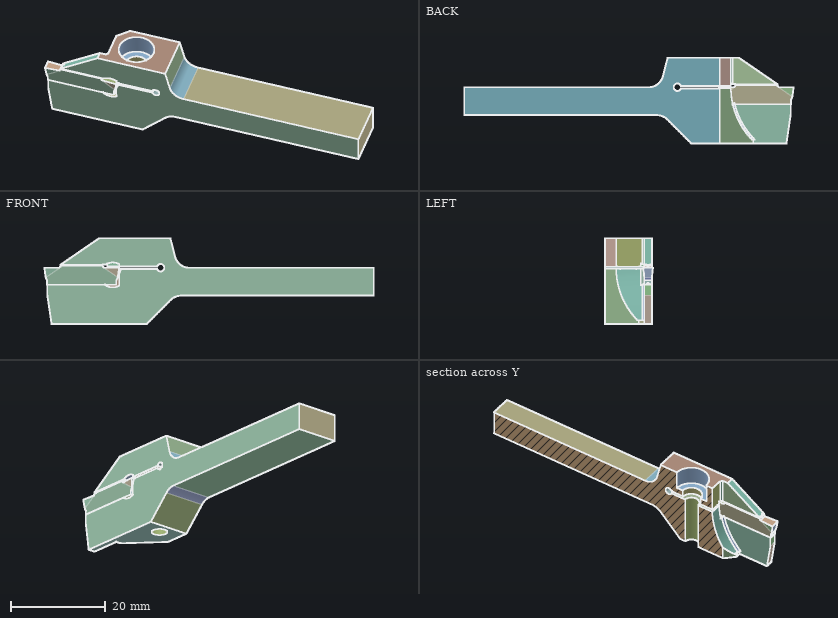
import cadquery as cq
import math

LENGTH = 70.0
HEIGHT = 18.3
DEPTH = 10.0
SHANK_BOTTOM = 6.0
SHANK_TOP = 12.0
HEAD_END_X = 26.8
NECK_TOP_X = 28.4
NECK_BOTTOM_X = 27.8
NECK_RADIUS = 3.15
JAW_TIP_X = 3.4
JAW_TOP_X = 11.7
HEEL_X = 1.55
HEEL_END_X = 21.8
BLADE_FRONT_X = 0.6
BLADE_KINK_Z = 6.15

BLADE_DEPTH = 1.7
SCOOP_X = 13.4
SCOOP_TANGENT_Z = 11.9
SCOOP_RADIUS = 15.9
TOE_X = 8.6
TOE_HEIGHT = 0.85
SCOOP_CHAMFER = 0.4
CHAMFER_OFFSET = 5.75

SEAT_Z = 8.4
JAW_Z = 12.6
INSERT_LENGTH = 15.9
RELIEF_X = 14.55
RELIEF_Z = 10.4
RELIEF_RADIUS = 2.65
RELIEF_DEPTH = 2.45
SLIT_Z = 12.0
SLIT_HEIGHT = 0.5
SLIT_END_X = 24.7
SLIT_HOLE_RADIUS = 0.8
LEAD_IN_X = 16.4
LEAD_IN_START_Z = 10.65
RAIL_HEIGHT = 0.4
RAIL_WIDTH = 1.0

SCREW_X = 18.75
SCREW_Y = 5.05
HEAD_RADIUS = 3.8
HEAD_BORE_DEPTH = 4.35
CLEARANCE_RADIUS = 2.3
THREAD_RADIUS = 1.7

INSERT_TOP = 12.4
EDGE_Z = 12.0
NOSE_X = 0.3
NOSE_Z = 9.95
INSERT_FOOT_X = 0.55
INSERT_FOOT_TOP = 9.3
RAKE_LENGTH = 3.2
RAKE_RISE_LENGTH = 0.3
EDGE_OVERHANG = 0.2


def extrude_y(sketch, y_start, y_end):
    """Extrude a closed XZ sketch between two Y positions."""
    return sketch.extrude(-(y_end - y_start)).translate((0, y_start, 0))


def prism(points, y_start, y_end):
    return extrude_y(cq.Workplane("XZ").polyline(points).close(), y_start, y_end)


def cylinder_y(x, z, radius, y_end):
    return extrude_y(cq.Workplane("XZ").center(x, z).circle(radius), 0, y_end)


def rail(base_z, direction, x_start, x_end):
    """V rail along the blade, pointing up (+1) or down (-1)."""
    middle = BLADE_DEPTH / 2
    points = [
        (middle - RAIL_WIDTH / 2, base_z),
        (middle + RAIL_WIDTH / 2, base_z),
        (middle, base_z + direction * RAIL_HEIGHT),
    ]
    return cq.Workplane("YZ").polyline(points).close().extrude(x_end - x_start).translate((x_start, 0, 0))


def seat_rails():
    """Lower rail up to the relief and upper rail along the raised middle of the insert."""
    half_chord = math.sqrt(RELIEF_RADIUS**2 - (RELIEF_Z - SEAT_Z) ** 2)
    upper_start = RAKE_LENGTH + RAKE_RISE_LENGTH
    lower = rail(SEAT_Z, 1, BLADE_FRONT_X, RELIEF_X - half_chord)
    upper = rail(JAW_Z, -1, upper_start, INSERT_LENGTH - upper_start)
    return lower, upper


def holder_blank():
    outline = [
        (HEEL_X, 0),
        (HEEL_END_X, 0),
        (NECK_BOTTOM_X, SHANK_BOTTOM),
        (LENGTH, SHANK_BOTTOM),
        (LENGTH, SHANK_TOP),
        (NECK_TOP_X, SHANK_TOP),
        (HEAD_END_X, HEIGHT),
        (JAW_TOP_X, HEIGHT),
        (JAW_TIP_X, JAW_Z),
        (JAW_TIP_X, SEAT_Z),
        (BLADE_FRONT_X, SEAT_Z),
        (BLADE_FRONT_X, BLADE_KINK_Z),
    ]
    blank = prism(outline, 0, DEPTH)
    for x, z in [(NECK_BOTTOM_X, SHANK_BOTTOM), (NECK_TOP_X, SHANK_TOP)]:
        corner = cq.selectors.BoxSelector((x - 0.1, -0.7, z - 0.1), (x + 0.1, DEPTH + 0.7, z + 0.1))
        blank = blank.edges(corner).fillet(NECK_RADIUS)
    return blank


def scoop():
    """Clearance behind the blade: a straight wall running into a concave arc."""
    center_x = SCOOP_X - SCOOP_RADIUS
    drop = SCOOP_TANGENT_Z - TOE_HEIGHT
    arc_end_x = center_x + math.sqrt(SCOOP_RADIUS**2 - drop**2)
    half_angle = math.asin(drop / SCOOP_RADIUS) / 2
    arc_middle = (
        center_x + SCOOP_RADIUS * math.cos(half_angle),
        SCOOP_TANGENT_Z - SCOOP_RADIUS * math.sin(half_angle),
    )
    sketch = (
        cq.Workplane("XZ")
        .moveTo(0, HEIGHT)
        .lineTo(SCOOP_X, HEIGHT)
        .lineTo(SCOOP_X, SCOOP_TANGENT_Z)
        .threePointArc(arc_middle, (arc_end_x, TOE_HEIGHT))
        .lineTo(0, TOE_HEIGHT)
        .close()
    )
    cutter = extrude_y(sketch, BLADE_DEPTH, DEPTH)
    wall_foot = cq.selectors.NearestToPointSelector((SCOOP_X, BLADE_DEPTH, (HEIGHT + SCOOP_TANGENT_Z) / 2))
    cutter = cutter.edges(wall_foot).chamfer(SCOOP_CHAMFER)
    toe_front = prism([(0, 0), (TOE_X, 0), (TOE_X, TOE_HEIGHT), (0, TOE_HEIGHT)], BLADE_DEPTH, DEPTH)
    return cutter.union(toe_front)


def corner_chamfer():
    points = [
        (CHAMFER_OFFSET + DEPTH, DEPTH),
        (0, DEPTH),
        (0, BLADE_DEPTH),
        (CHAMFER_OFFSET + BLADE_DEPTH, BLADE_DEPTH),
    ]
    return cq.Workplane("XY").polyline(points).close().extrude(HEIGHT)


def insert_seat():
    """Straight seat through the blade, a round relief at its inner end and a lead-in to the slit."""
    seat = prism(
        [(0, SEAT_Z), (INSERT_LENGTH, SEAT_Z), (INSERT_LENGTH, JAW_Z), (0, JAW_Z)], 0, BLADE_DEPTH
    )
    relief_limit = cq.Workplane("XY").box(INSERT_LENGTH, RELIEF_DEPTH, HEIGHT, centered=False)
    relief = cylinder_y(RELIEF_X, RELIEF_Z, RELIEF_RADIUS, RELIEF_DEPTH).intersect(relief_limit)
    slit_bottom = SLIT_Z - SLIT_HEIGHT / 2
    lead_in = prism(
        [
            (RELIEF_X, LEAD_IN_START_Z),
            (INSERT_LENGTH, LEAD_IN_START_Z),
            (LEAD_IN_X, slit_bottom),
            (LEAD_IN_X, SLIT_Z),
            (RELIEF_X, SLIT_Z),
        ],
        0,
        BLADE_DEPTH,
    )
    return seat.union(relief).union(lead_in)


def clamping_slit():
    bottom = SLIT_Z - SLIT_HEIGHT / 2
    top = SLIT_Z + SLIT_HEIGHT / 2
    corners = [(JAW_TIP_X, bottom), (SLIT_END_X, bottom), (SLIT_END_X, top), (JAW_TIP_X, top)]
    slit = prism(corners, 0, DEPTH)
    return slit.union(cylinder_y(SLIT_END_X, SLIT_Z, SLIT_HOLE_RADIUS, DEPTH))


def screw_hole():
    """Head counterbore, clearance bore down to the slit, tapping bore below it."""
    axis = cq.Workplane("XY").center(SCREW_X, SCREW_Y)
    thread = axis.circle(THREAD_RADIUS).extrude(HEIGHT)
    clearance = axis.circle(CLEARANCE_RADIUS).extrude(HEIGHT - SLIT_Z).translate((0, 0, SLIT_Z))
    head_floor = HEIGHT - HEAD_BORE_DEPTH
    head = axis.circle(HEAD_RADIUS).extrude(HEAD_BORE_DEPTH).translate((0, 0, head_floor))
    return thread.union(clearance).union(head)


def make_holder():
    holder = holder_blank().cut(scoop()).cut(corner_chamfer())
    holder = holder.cut(clamping_slit()).cut(insert_seat()).cut(screw_hole())
    for seat_rail in seat_rails():
        holder = holder.union(seat_rail)
    return holder


def cheek(side_y, tip_y):
    """Flared tetrahedron that widens the cutting edge beyond one side of the insert."""
    tip = cq.Vector(0, tip_y, EDGE_Z)
    root = cq.Vector(0, side_y, EDGE_Z)
    nose = cq.Vector(NOSE_X, side_y, NOSE_Z)
    rake_end = cq.Vector(RAKE_LENGTH, side_y, EDGE_Z)
    triangles = [
        (tip, root, nose),
        (tip, nose, rake_end),
        (tip, rake_end, root),
        (root, rake_end, nose),
    ]
    faces = [cq.Face.makeFromWires(cq.Wire.makePolygon(corners, close=True)) for corners in triangles]
    return cq.Workplane(cq.Solid.makeSolid(cq.Shell.makeShell(faces)))


def make_insert():
    rise_x = RAKE_LENGTH + RAKE_RISE_LENGTH
    outline = [
        (INSERT_FOOT_X, SEAT_Z),
        (INSERT_FOOT_X, INSERT_FOOT_TOP),
        (NOSE_X, NOSE_Z),
        (0, EDGE_Z),
        (RAKE_LENGTH, EDGE_Z),
        (rise_x, INSERT_TOP),
        (INSERT_LENGTH - rise_x, INSERT_TOP),
        (INSERT_LENGTH - RAKE_LENGTH, EDGE_Z),
        (INSERT_LENGTH, EDGE_Z),
        (INSERT_LENGTH - NOSE_X, NOSE_Z),
        (INSERT_LENGTH - INSERT_FOOT_X, INSERT_FOOT_TOP),
        (INSERT_LENGTH - INSERT_FOOT_X, SEAT_Z),
    ]
    insert = prism(outline, 0, BLADE_DEPTH)
    for side_y, tip_y in [(0, -EDGE_OVERHANG), (BLADE_DEPTH, BLADE_DEPTH + EDGE_OVERHANG)]:
        front = cheek(side_y, tip_y)
        rear = front.mirror("YZ").translate((INSERT_LENGTH, 0, 0))
        insert = insert.union(front).union(rear)
    for seat_rail in seat_rails():
        insert = insert.cut(seat_rail)
    return insert


holder = make_holder()
insert = make_insert()
result = cq.Compound.makeCompound([*holder.solids().vals(), *insert.solids().vals()])